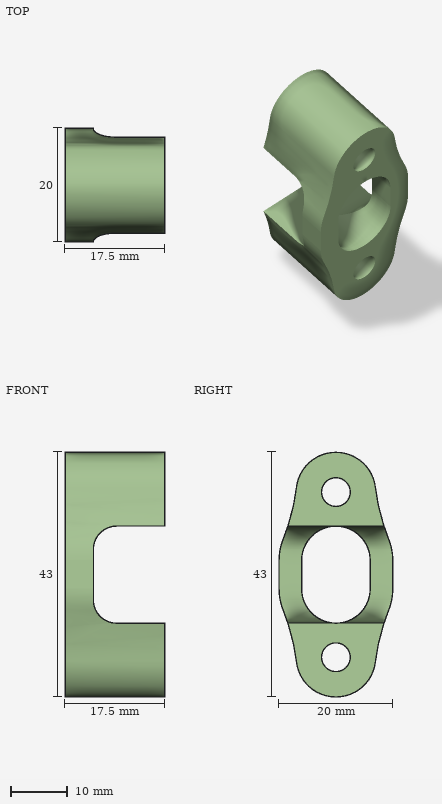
import cadquery as cq
import math

DEPTH = 17.5
FLANGE_THICKNESS = 5.0

SLOT_WIDTH = 12.0
SLOT_HEIGHT = 17.0
SLOT_CENTRE_Z = (SLOT_HEIGHT - SLOT_WIDTH) / 2

HOLE_DIAMETER = 5.0
HOLE_SPACING = 29.0
HOLE_Z = HOLE_SPACING / 2
END_RADIUS = 7.0

BODY_WIDTH = 20.0
BODY_RADIUS = BODY_WIDTH / 2
FLANK_RADIUS = 35.0

NOTCH_HEIGHT = SLOT_HEIGHT
NOTCH_CORNER_RADIUS = 4.0


def flank_centre():
    """Centre (y, z) of the +Y, +Z flank arc, touching the body arc and the end arc from outside."""
    to_body = BODY_RADIUS + FLANK_RADIUS
    to_end = END_RADIUS + FLANK_RADIUS
    centre_gap = HOLE_Z - SLOT_CENTRE_Z
    rise = (to_body**2 - to_end**2 + centre_gap**2) / (2 * centre_gap)
    return math.sqrt(to_body**2 - rise**2), SLOT_CENTRE_Z + rise


def tangent_point(arc_centre_z, arc_radius):
    """Point where an arc centred on the Z axis meets the +Y, +Z flank arc."""
    flank_y, flank_z = flank_centre()
    share = arc_radius / (arc_radius + FLANK_RADIUS)
    return share * flank_y, arc_centre_z + share * (flank_z - arc_centre_z)


def make_body():
    """Flange outline in the YZ plane, extruded along +X."""
    body_y, body_z = tangent_point(SLOT_CENTRE_Z, BODY_RADIUS)
    end_y, end_z = tangent_point(HOLE_Z, END_RADIUS)
    end_top_z = HOLE_Z + END_RADIUS
    return (
        cq.Workplane("YZ")
        .moveTo(BODY_RADIUS, -SLOT_CENTRE_Z)
        .lineTo(BODY_RADIUS, SLOT_CENTRE_Z)
        .radiusArc((body_y, body_z), -BODY_RADIUS)
        .radiusArc((end_y, end_z), FLANK_RADIUS)
        .threePointArc((0, end_top_z), (-end_y, end_z))
        .radiusArc((-body_y, body_z), FLANK_RADIUS)
        .radiusArc((-BODY_RADIUS, SLOT_CENTRE_Z), -BODY_RADIUS)
        .lineTo(-BODY_RADIUS, -SLOT_CENTRE_Z)
        .radiusArc((-body_y, -body_z), -BODY_RADIUS)
        .radiusArc((-end_y, -end_z), FLANK_RADIUS)
        .threePointArc((0, -end_top_z), (end_y, -end_z))
        .radiusArc((body_y, -body_z), FLANK_RADIUS)
        .radiusArc((BODY_RADIUS, -SLOT_CENTRE_Z), -BODY_RADIUS)
        .close()
        .extrude(DEPTH)
    )


def make_slot():
    """Round-ended slot through the flange."""
    return cq.Workplane("YZ").slot2D(SLOT_HEIGHT, SLOT_WIDTH, 90).extrude(DEPTH)


def make_screw_holes():
    """Two through holes, one in each rounded end."""
    return (
        cq.Workplane("YZ")
        .pushPoints([(0, HOLE_Z), (0, -HOLE_Z)])
        .circle(HOLE_DIAMETER / 2)
        .extrude(DEPTH)
    )


def make_notch():
    """Full-width notch open to the +X side, with its two inner corners rounded."""
    return (
        cq.Workplane("XY")
        .box(DEPTH - FLANGE_THICKNESS, BODY_WIDTH, NOTCH_HEIGHT, centered=(False, True, True))
        .edges("|Y and <X")
        .fillet(NOTCH_CORNER_RADIUS)
        .translate((FLANGE_THICKNESS, 0, 0))
    )


result = make_body().cut(make_slot()).cut(make_screw_holes()).cut(make_notch())